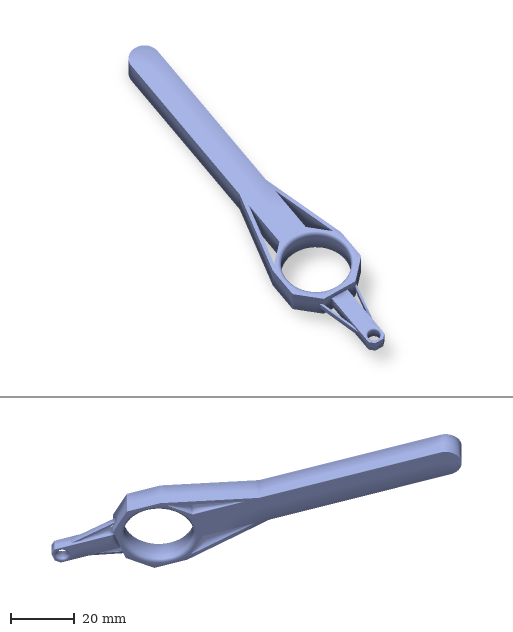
import cadquery as cq
import math


ring_across_flats = 26.0
ring_handle_corner_cut = 8.0
ring_arm_corner_cut = 7.0
ring_bore_diameter = 22.0
ring_bore_fillet = 1.0
body_height = 8.0

handle_reach = 100.0
handle_width = 10.0

tip_reach = 35.0
arm_width = 6.0
arm_height = 4.0
arm_corner_cut = 1.5
eye_end_distance = 3.0
eye_hole_diameter = 4.0
eye_hole_fillet = 0.5

handle_strut_end_x = -35.0
handle_strut_axial_thickness = 5.0
arm_strut_height = 2.0
arm_strut_axial_thickness = 3.0
arm_strut_ring_x = 12.0
arm_strut_end_x = 28.0

ring_half_width = ring_across_flats / 2
handle_half_width = handle_width / 2
arm_half_width = arm_width / 2
eye_x = tip_reach - eye_end_distance


def centred_prism(outline, height):
    """Extrude a closed outline symmetrically about Z = 0."""
    return outline.extrude(height / 2, both=True)


def make_ring_block():
    block = cq.Workplane("XY").box(ring_across_flats, ring_across_flats, body_height)
    block = block.edges("|Z and <X").chamfer(ring_handle_corner_cut)
    return block.edges("|Z and >X").chamfer(ring_arm_corner_cut)


def make_handle():
    round_centre_x = handle_half_width - handle_reach
    outline = (
        cq.Workplane("XY")
        .moveTo(0, handle_half_width)
        .lineTo(round_centre_x, handle_half_width)
        .threePointArc((-handle_reach, 0), (round_centre_x, -handle_half_width))
        .lineTo(0, -handle_half_width)
        .close()
    )
    return centred_prism(outline, body_height)


def make_arm():
    bar = cq.Workplane("XY").box(tip_reach, arm_width, arm_height, centered=(False, True, True))
    return bar.edges("|Z and >X").chamfer(arm_corner_cut)


def strut_pair(ring_point, bar_point, axial_thickness, height):
    """Mirrored struts whose outer faces join the two points; thickness is measured along X."""
    run = abs(bar_point[0] - ring_point[0])
    drop = ring_point[1] - bar_point[1]
    depth = axial_thickness * drop / run
    inner_bar = (bar_point[0], bar_point[1] - depth)
    inner_ring = (ring_point[0], ring_point[1] - depth)
    outline = cq.Workplane("XY").polyline([ring_point, bar_point, inner_bar, inner_ring]).close()
    strut = centred_prism(outline, height)
    return strut.union(strut.mirror("XZ"))


def make_handle_struts():
    ring_point = (ring_handle_corner_cut - ring_half_width, ring_half_width)
    handle_point = (handle_strut_end_x, handle_half_width)
    return strut_pair(ring_point, handle_point, handle_strut_axial_thickness, body_height)


def make_arm_struts():
    ring_y = ring_across_flats - ring_arm_corner_cut - arm_strut_ring_x
    ring_point = (arm_strut_ring_x, ring_y)
    arm_point = (arm_strut_end_x, arm_half_width)
    return strut_pair(ring_point, arm_point, arm_strut_axial_thickness, arm_strut_height)


def rounded_hole(diameter, fillet, height, centre_x):
    """Through-hole cutter that leaves a rounded edge at both faces."""
    radius = diameter / 2
    half_height = height / 2
    mouth_radius = radius + fillet
    straight_half_height = half_height - fillet
    arc_offset = fillet * math.sqrt(0.5)
    arc_x = mouth_radius - arc_offset
    arc_z = straight_half_height + arc_offset
    profile = (
        cq.Workplane("XZ")
        .moveTo(0, -half_height)
        .lineTo(mouth_radius, -half_height)
        .threePointArc((arc_x, -arc_z), (radius, -straight_half_height))
        .lineTo(radius, straight_half_height)
        .threePointArc((arc_x, arc_z), (mouth_radius, half_height))
        .lineTo(0, half_height)
        .close()
    )
    cutter = profile.revolve(360, (0, 0, 0), (0, 1, 0))
    return cutter.translate((centre_x, 0, 0))


result = (
    make_ring_block()
    .union(make_handle())
    .union(make_arm())
    .union(make_handle_struts())
    .union(make_arm_struts())
    .cut(rounded_hole(ring_bore_diameter, ring_bore_fillet, body_height, 0))
    .cut(rounded_hole(eye_hole_diameter, eye_hole_fillet, arm_height, eye_x))
    .clean()
)